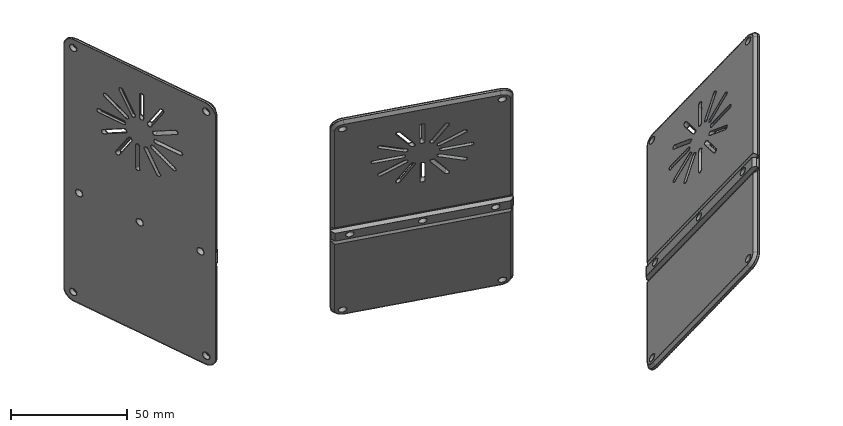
import cadquery as cq

length = 150.0
width = 80.0
plate_thickness = 2.4
rib_top = 3.0
corner_radius = 5.5
edge_chamfer = 1.42

hole_diameter = 3.8
corner_hole_inset = 5.0
row_hole_spacing = 32.0
row_z = -11.7

rib_z = -11.8
rib_height = 6.0
groove_depth = 1.6
groove_floor_width = 1.8

vent_z = 40.0
vent_count = 12
vent_inner_radius = 7.5
vent_outer_radius = 22.5
vent_slot_width = 2.0
vent_tilt = 23.5


def plate():
    """Rounded rectangle chamfered around its +Y face."""
    return (
        cq.Workplane("XZ")
        .rect(width, length)
        .extrude(-plate_thickness)
        .edges("|Y")
        .fillet(corner_radius)
        .faces(">Y")
        .chamfer(edge_chamfer)
    )


def rib():
    """Raised strip across the full width, with the plate's edge chamfer at its ends."""
    return (
        cq.Workplane("XZ")
        .center(0, rib_z)
        .rect(width, rib_height)
        .extrude(-rib_top)
        .faces(">Y")
        .edges("|Z")
        .chamfer(edge_chamfer)
    )


def groove(side):
    """Groove across the full width beside the rib, with a 45 degree outer wall."""
    rib_side = rib_z + side * rib_height / 2
    floor_end = rib_side + side * groove_floor_width
    mouth_end = floor_end + side * groove_depth
    groove_floor = plate_thickness - groove_depth
    return (
        cq.Workplane("YZ")
        .polyline([
            (plate_thickness, rib_side),
            (groove_floor, rib_side),
            (groove_floor, floor_end),
            (plate_thickness, mouth_end),
        ])
        .close()
        .extrude(width / 2, both=True)
    )


def vent_slot(angle):
    """Round-ended radial slot, leaning about its own long axis."""
    slot_length = vent_outer_radius - vent_inner_radius
    mid_radius = (vent_outer_radius + vent_inner_radius) / 2
    return (
        cq.Workplane("XZ")
        .slot2D(slot_length, vent_slot_width, 90)
        .extrude(2 * plate_thickness, both=True)
        .rotate((0, 0, 0), (0, 0, 1), vent_tilt)
        .translate((0, plate_thickness, mid_radius))
        .rotate((0, 0, 0), (0, 1, 0), angle)
        .translate((0, 0, vent_z))
    )


hole_x = width / 2 - corner_hole_inset
hole_z = length / 2 - corner_hole_inset
hole_centres = [(x, z) for x in (-hole_x, hole_x) for z in (-hole_z, hole_z)]
hole_centres += [(x, row_z) for x in (-row_hole_spacing, 0, row_hole_spacing)]
holes = (
    cq.Workplane("XZ")
    .pushPoints(hole_centres)
    .circle(hole_diameter / 2)
    .extrude(-rib_top)
)

result = plate()
for side in (-1, 1):
    result = result.cut(groove(side))
result = result.union(rib()).cut(holes)
for index in range(vent_count):
    result = result.cut(vent_slot(index * 360 / vent_count))